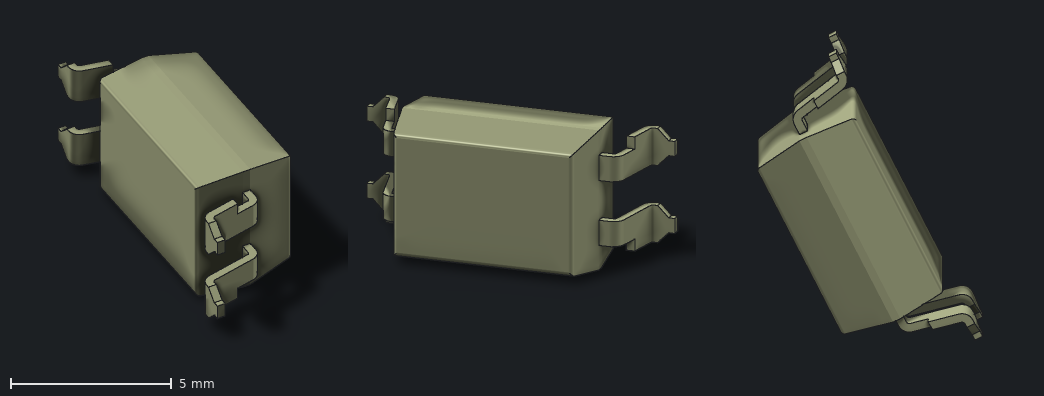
import cadquery as cq
import math


body_length = 6.5
body_width = 4.6
body_base_y = 0.35
body_top_y = 3.85
band_bottom_y = 1.95
band_top_y = 2.2
lower_draft = 5.0
upper_draft = 10.0
body_fillet = 0.15

lead_span = 10.16
lead_pitch = 2.54
lead_thickness = 0.28
lead_top_y = band_top_y
inner_bend_radius = 0.1
outer_bend_radius = inner_bend_radius + lead_thickness
leg_angle = math.radians(12.0)
shoulder_bend_x = 3.6
lead_embed = 0.5
foot_width = 1.23
shoulder_width = 0.83
shoulder_step_y = 1.27
tip_width = 0.5
tip_length = 0.2


def body_half(band_edge_y, end_y, draft):
    """Drafted block between the parting band and one end face, rounded at that face."""
    height = end_y - band_edge_y
    normal_y = math.copysign(1, height)
    plane = cq.Plane(origin=(0, band_edge_y, 0), xDir=(1, 0, 0), normal=(0, normal_y, 0))
    block = cq.Workplane(plane).rect(body_length, body_width).extrude(abs(height), taper=draft)
    end_face = ">Y" if height > 0 else "<Y"
    return block.faces(end_face).edges().fillet(body_fillet)


def make_body():
    band_height = band_top_y - band_bottom_y
    band_centre_y = (band_top_y + band_bottom_y) / 2
    band = cq.Workplane("XY").box(body_length, band_height, body_width).translate((0, band_centre_y, 0))
    lower = body_half(band_bottom_y, body_base_y, lower_draft)
    upper = body_half(band_top_y, body_top_y, upper_draft)
    return band.union(lower).union(upper)


def on_circle(centre, radius, angle):
    """Point on a circle, with the angle measured from +X in radians."""
    return (centre[0] + radius * math.cos(angle), centre[1] + radius * math.sin(angle))


def lead_profile():
    """Z-shaped strip in the XY plane, bent at the shoulder and at the foot."""
    shoulder_centre = (shoulder_bend_x, lead_top_y - outer_bend_radius)
    bend_gap = inner_bend_radius + outer_bend_radius
    drop = shoulder_centre[1] - outer_bend_radius
    leg_length = (drop + bend_gap * math.sin(leg_angle)) / math.cos(leg_angle)
    foot_bend_x = shoulder_bend_x + bend_gap * math.cos(leg_angle) + leg_length * math.sin(leg_angle)
    foot_centre = (foot_bend_x, outer_bend_radius)

    up = math.pi / 2
    down = -up
    shoulder_end = leg_angle
    shoulder_mid = (up + shoulder_end) / 2
    foot_start = leg_angle - math.pi
    foot_mid = (foot_start + down) / 2
    root_x = body_length / 2 - lead_embed
    tip_x = lead_span / 2

    return (
        cq.Workplane("XY")
        .moveTo(root_x, lead_top_y)
        .lineTo(*on_circle(shoulder_centre, outer_bend_radius, up))
        .threePointArc(
            on_circle(shoulder_centre, outer_bend_radius, shoulder_mid),
            on_circle(shoulder_centre, outer_bend_radius, shoulder_end),
        )
        .lineTo(*on_circle(foot_centre, inner_bend_radius, foot_start))
        .threePointArc(
            on_circle(foot_centre, inner_bend_radius, foot_mid),
            on_circle(foot_centre, inner_bend_radius, down),
        )
        .lineTo(tip_x, lead_thickness)
        .lineTo(tip_x, 0)
        .lineTo(*on_circle(foot_centre, outer_bend_radius, down))
        .threePointArc(
            on_circle(foot_centre, outer_bend_radius, foot_mid),
            on_circle(foot_centre, outer_bend_radius, foot_start),
        )
        .lineTo(*on_circle(shoulder_centre, inner_bend_radius, shoulder_end))
        .threePointArc(
            on_circle(shoulder_centre, inner_bend_radius, shoulder_mid),
            on_circle(shoulder_centre, inner_bend_radius, up),
        )
        .lineTo(root_x, lead_top_y - lead_thickness)
        .close()
    )


def tip_corner():
    """Cutter that narrows the +Z side of a foot to its tip with a 45 degree shoulder."""
    tip_x = lead_span / 2
    side_cut = (foot_width - tip_width) / 2
    neck_x = tip_x - tip_length
    corner = [
        (tip_x, tip_width / 2),
        (neck_x, tip_width / 2),
        (neck_x - side_cut, foot_width / 2),
        (tip_x, foot_width / 2),
    ]
    return cq.Workplane("XZ").polyline(corner).close().extrude(-lead_thickness)


def make_lead():
    """Lead on the +X, +Z side, with its narrow shoulder flush with the foot's inner edge."""
    lead = lead_profile().extrude(foot_width).translate((0, 0, -foot_width / 2))
    notch_length = lead_span / 2
    notch_height = lead_top_y - shoulder_step_y
    notch_width = foot_width - shoulder_width
    notch = (
        cq.Workplane("XY")
        .box(notch_length, notch_height, notch_width, centered=False)
        .translate((0, shoulder_step_y, foot_width / 2 - notch_width))
    )
    corner = tip_corner()
    lead = lead.cut(notch).cut(corner).cut(corner.mirror("XY"))
    return lead.translate((0, 0, lead_pitch / 2))


def make_part():
    lead = make_lead()
    lead_pair = lead.union(lead.mirror("XY"))
    return make_body().union(lead_pair).union(lead_pair.mirror("YZ"))


result = make_part()